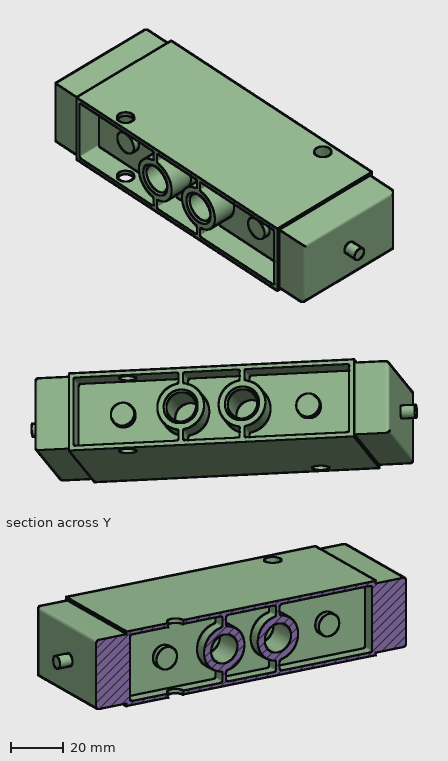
import cadquery as cq

TOTAL_LENGTH = 149.0
BODY_LENGTH = 110.9
BODY_DEPTH = 50.0
BODY_HEIGHT = 30.4

CAPS_LENGTH = 138.0
CAP_INSET = 1.0
CAP_ROUNDING = 1.5

PIN_DIAMETER = 5.0

WALL = 1.8
POCKET_DEPTH = 10.1
CORNER_RADIUS = 0.9
RIB_WIDTH = 1.8

PORT_X = 11.9
PORTS = [(-PORT_X, 0), (PORT_X, 0)]
BOSS_DIAMETER = 18.2
BORE_DIAMETER = 11.5
BORE_CHAMFER = 0.9
BORE_DEPTH = 17.9

PAD_X = 36.0
PAD_DIAMETER = 9.1
PAD_HEIGHT = 2.7

MOUNT_DIAMETER = 6.5
MOUNT_X = 33.5
MOUNT_Y = 20.0

FRONT_Y = -BODY_DEPTH / 2
FLOOR_Y = FRONT_Y + POCKET_DEPTH


def front_plane(y):
    """Sketch plane at the given Y whose normal points out of the front (-Y)."""
    return cq.Workplane("XZ", origin=(0, y, 0))


def make_body():
    return cq.Workplane("XY").box(BODY_LENGTH, BODY_DEPTH, BODY_HEIGHT)


def make_end_caps():
    """One block through the body, so that both of its ends stand out as caps."""
    block = cq.Workplane("XY").box(
        CAPS_LENGTH, BODY_DEPTH - 2 * CAP_INSET, BODY_HEIGHT - 2 * CAP_INSET
    )
    return block.faces("<X or >X").edges().fillet(CAP_ROUNDING)


def make_pins():
    """One rod along X, so that both of its ends stand out as pins."""
    rod = cq.Workplane("YZ").circle(PIN_DIAMETER / 2)
    return rod.extrude(TOTAL_LENGTH / 2, both=True)


def make_pocket():
    """Hollow space of the front pocket, in three cells around the ribs and bosses."""
    cells = front_plane(FLOOR_Y).rect(BODY_LENGTH - 2 * WALL, BODY_HEIGHT - 2 * WALL)
    cells = cells.extrude(POCKET_DEPTH)
    ribs = front_plane(FLOOR_Y).pushPoints(PORTS).rect(RIB_WIDTH, BODY_HEIGHT)
    bosses = front_plane(FLOOR_Y).pushPoints(PORTS).circle(BOSS_DIAMETER / 2)
    cells = cells.cut(ribs.extrude(POCKET_DEPTH)).cut(bosses.extrude(POCKET_DEPTH))
    return cells.edges("|Y").fillet(CORNER_RADIUS)


def make_pads():
    pads = front_plane(FLOOR_Y).pushPoints([(-PAD_X, 0), (PAD_X, 0)])
    return pads.circle(PAD_DIAMETER / 2).extrude(PAD_HEIGHT)


def make_bores():
    """Port bores, widened by a chamfer at the mouth."""
    bores = front_plane(FRONT_Y + BORE_DEPTH).pushPoints(PORTS)
    bores = bores.circle(BORE_DIAMETER / 2).extrude(BORE_DEPTH)
    for x, _ in PORTS:
        mouth = cq.Solid.makeCone(
            BORE_DIAMETER / 2 + BORE_CHAMFER,
            BORE_DIAMETER / 2,
            BORE_CHAMFER,
            cq.Vector(x, FRONT_Y, 0),
            cq.Vector(0, 1, 0),
        )
        bores = bores.union(cq.Workplane(mouth))
    return bores


def make_mount_holes():
    holes = cq.Workplane("XY").pushPoints([(-MOUNT_X, -MOUNT_Y), (MOUNT_X, MOUNT_Y)])
    return holes.circle(MOUNT_DIAMETER / 2).extrude(BODY_HEIGHT, both=True)


result = make_body().union(make_end_caps()).union(make_pins())
result = result.cut(make_pocket()).cut(make_mount_holes()).cut(make_bores())
result = result.union(make_pads())